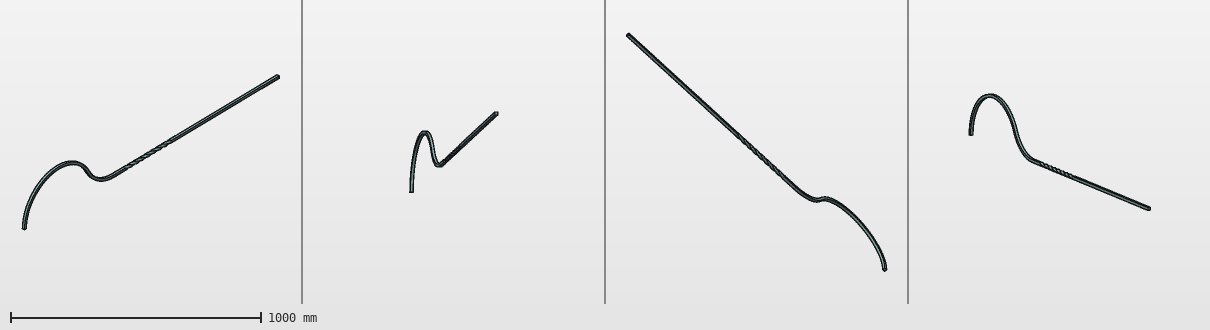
import cadquery as cq
import math

bar_size = 12.0
total_length = 1500.0

plain_length = 634.0
twist_length = 271.0
twist_turns = 2

hook_radius = 197.5
offset_bend_radius = 168.0

bend_angle = math.acos(offset_bend_radius / (offset_bend_radius + hook_radius))

plain_end_y = total_length / 2
twist_start_y = plain_end_y - plain_length
twist_end_y = twist_start_y - twist_length
hook_tip_y = plain_end_y - total_length + bar_size / 2
hook_centre_y = hook_tip_y + hook_radius
bend_span = (offset_bend_radius + hook_radius) * math.sin(bend_angle)
bend_start_y = hook_centre_y + bend_span


def section_at(y):
    """Square bar section across the shank, with its normal along -Y."""
    plane = cq.Plane(origin=(0, y, 0), xDir=(1, 0, 0), normal=(0, -1, 0))
    return cq.Workplane(plane).rect(bar_size, bar_size)


def point_on_arc(centre_y, centre_z, radius, angle):
    """(Y, Z) point on an arc; the angle runs from +Z towards +Y."""
    return (centre_y + radius * math.sin(angle), centre_z + radius * math.cos(angle))


def plain_shank():
    return section_at(plain_end_y).extrude(plain_length)


def twisted_shank():
    return section_at(twist_start_y).twistExtrude(twist_length, 360 * twist_turns)


def neck_and_hook():
    """Straight neck, upward offset bend and hook, swept in one piece along the centreline."""
    bend_middle = point_on_arc(
        bend_start_y, offset_bend_radius, offset_bend_radius, math.pi + bend_angle / 2
    )
    bend_end = point_on_arc(hook_centre_y, 0, hook_radius, bend_angle)
    hook_top = point_on_arc(hook_centre_y, 0, hook_radius, 0)
    path = (
        cq.Workplane("YZ")
        .moveTo(twist_end_y, 0)
        .lineTo(bend_start_y, 0)
        .threePointArc(bend_middle, bend_end)
        .threePointArc(hook_top, (hook_tip_y, 0))
    )
    return section_at(twist_end_y).sweep(path)


result = plain_shank().union(twisted_shank()).union(neck_and_hook())